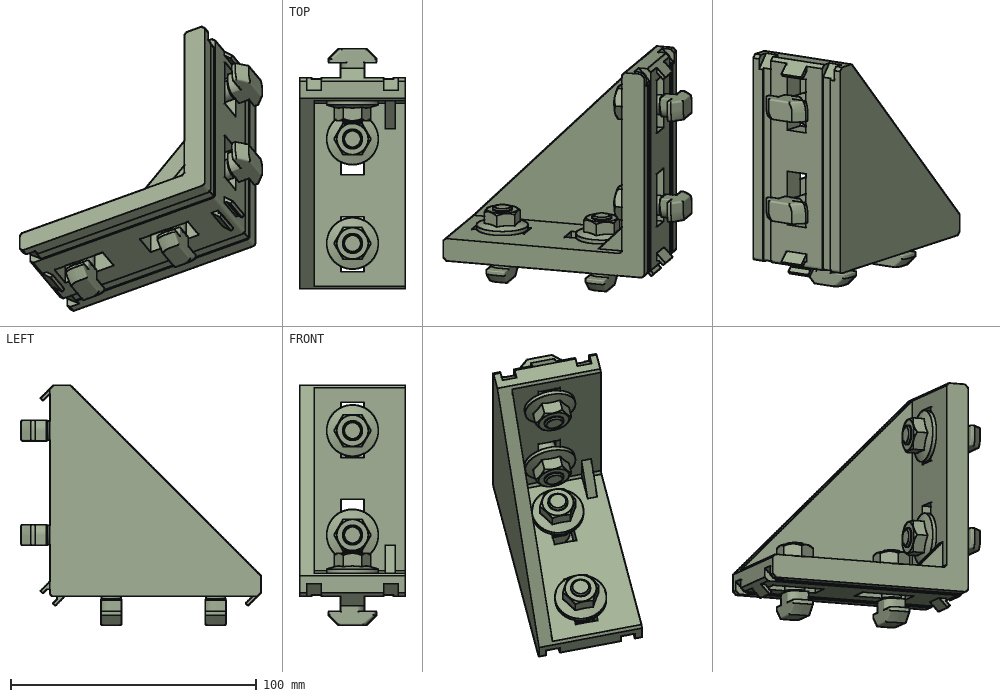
import cadquery as cq
import math


OVERALL_LENGTH = 97.8
WIDTH = 43.0
LEG_LENGTH = 86.1
LEG_THICKNESS = 9.5
SIDE_PLATE = 5.9
END_HEIGHT = 8.4
END_CHAMFER = 1.5
CORNER_RADIUS = 1.5
INNER_CHAMFER = 1.1
MID_X = WIDTH / 2

RIB_X = 34.9
RIB_WIDTH = 4.0
RIB_TOP = 20.8

SLOT_WIDTH = 9.2
SLOT_LENGTH = 22.4
SLOT_STARTS = (17.1, 56.7)

GROOVE_INSET = 4.9
GROOVE_WIDTH = 3.9
GROOVE_DEPTH = 0.6
POCKET_INSET = 2.9
POCKET_DEPTH = 5.1
POCKET_LENGTH = 5.1

LUG_WIDTH = 9.9
LUG_REACH = 3.8
LUG_THICKNESS = 1.5
CORNER_LUG_START = 2.9
CORNER_LUG_END = 6.1

BOLT_DISTANCES = (25.0, 67.6)
SHANK_DIAMETER = 8.0
TIP_DIAMETER = 6.65
TIP_HEIGHT = 18.8
NECK_HALF = 4.9
NECK_TOP = -1.5
TAPER_TOP = -0.9
HEAD_TOP = -6.0
HEAD_BOTTOM = LEG_LENGTH - OVERALL_LENGTH
HEAD_HALF = 9.8
HEAD_WIDTH = 8.5
HEAD_FLAT_HALF = 5.8
HEAD_FILLET = 0.8
NECK_FILLET = 0.4

FLANGE_DIAMETER = 21.0
FLANGE_RIM = 1.7
FLANGE_HEIGHT = 2.9
HEX_FLATS = 13.0
HEX_CORNERS = HEX_FLATS / math.cos(math.radians(30))
NUT_HEIGHT = 8.2
NUT_CHAMFER = 0.9
NUT_TOP_DIAMETER = 12.7


def leg_prism(points, x_start, length):
    """Extrude along X an outline of (distance from corner, height above outer face) on the -Y leg."""
    outline = [(-distance, height) for distance, height in points]
    return cq.Workplane("YZ").polyline(outline).close().extrude(length).translate((x_start, 0, 0))


def turned_solid(points):
    """Revolve an outline of (radius, height) about the Z axis."""
    return cq.Workplane("XZ").polyline(points).close().revolve(360, (0, 0), (0, 1))


def on_both_legs(shape):
    """Join a feature of the -Y leg with its mirror image on the +Z leg."""
    return shape.union(shape.mirror(cq.Vector(0, 1, 1)))


def make_slots():
    slots = cq.Workplane("XY")
    for start in SLOT_STARTS:
        slot = cq.Workplane("XY").box(SLOT_WIDTH, SLOT_LENGTH, 2 * LEG_THICKNESS)
        slots = slots.add(slot.translate((MID_X, -start - SLOT_LENGTH / 2, 0)))
    return slots.combine()


def make_grooves():
    """Shallow grooves along the leg, each deepening in a ramped pocket at the leg's end."""
    ramp_start = LEG_LENGTH - POCKET_LENGTH
    groove_outline = [(0, 0), (LEG_LENGTH, 0), (LEG_LENGTH, GROOVE_DEPTH), (0, GROOVE_DEPTH)]
    pocket_outline = [
        (LEG_LENGTH, 0),
        (LEG_LENGTH, POCKET_DEPTH),
        (ramp_start, GROOVE_DEPTH),
        (ramp_start - GROOVE_DEPTH, 0),
    ]
    pocket_width = GROOVE_INSET + GROOVE_WIDTH - POCKET_INSET
    groove = leg_prism(groove_outline, GROOVE_INSET, GROOVE_WIDTH)
    near = groove.union(leg_prism(pocket_outline, POCKET_INSET, pocket_width))
    far = near.mirror("YZ").translate((WIDTH, 0, 0))
    return near.union(far)


def make_lugs():
    """Two lugs under a leg, both slanting 45 degrees toward the corner."""
    slant_width = LUG_THICKNESS * math.sqrt(2)
    end_lug = [
        (LEG_LENGTH - END_CHAMFER, 0),
        (LEG_LENGTH - END_CHAMFER - LUG_REACH, -LUG_REACH),
        (LEG_LENGTH - END_CHAMFER - LUG_REACH - slant_width / 2, -LUG_REACH + slant_width / 2),
        (LEG_LENGTH - END_CHAMFER - slant_width, 0),
    ]
    foot_step = CORNER_LUG_END - slant_width - CORNER_LUG_START
    corner_lug = [
        (CORNER_LUG_END, 0),
        (CORNER_LUG_END - LUG_REACH, -LUG_REACH),
        (CORNER_LUG_END - LUG_REACH - slant_width / 2, -LUG_REACH + slant_width / 2),
        (CORNER_LUG_START, -foot_step),
        (CORNER_LUG_START, 0),
    ]
    lug_x = MID_X - LUG_WIDTH / 2
    return leg_prism(end_lug, lug_x, LUG_WIDTH).union(leg_prism(corner_lug, lug_x, LUG_WIDTH))


def make_bracket():
    outline = [
        (0, 0),
        (LEG_LENGTH - END_CHAMFER, 0),
        (LEG_LENGTH, END_CHAMFER),
        (LEG_LENGTH, END_HEIGHT),
        (END_HEIGHT, LEG_LENGTH),
        (END_CHAMFER, LEG_LENGTH),
        (0, LEG_LENGTH - END_CHAMFER),
    ]
    body = leg_prism(outline, 0, WIDTH)
    body = body.faces(">Y").edges("<Z").fillet(CORNER_RADIUS)

    inside = [
        (LEG_THICKNESS, LEG_THICKNESS + INNER_CHAMFER),
        (LEG_THICKNESS + INNER_CHAMFER, LEG_THICKNESS),
        (LEG_LENGTH, LEG_THICKNESS),
        (LEG_LENGTH, LEG_LENGTH),
        (LEG_THICKNESS, LEG_LENGTH),
    ]
    body = body.cut(leg_prism(inside, SIDE_PLATE, WIDTH - SIDE_PLATE))

    rib = [(LEG_THICKNESS, LEG_THICKNESS), (RIB_TOP, LEG_THICKNESS), (LEG_THICKNESS, RIB_TOP)]
    body = body.union(leg_prism(rib, RIB_X, RIB_WIDTH))

    body = body.cut(on_both_legs(make_slots()))
    body = body.cut(on_both_legs(make_grooves()))
    return body.union(on_both_legs(make_lugs()))


def round_flat_sides(head, bottom, top, radius):
    """Round the outline edges of the head's two flat sides whose centers lie between two levels."""
    band = cq.selectors.BoxSelector((-WIDTH, -WIDTH, bottom - radius / 2), (WIDTH, WIDTH, top + radius / 2))
    return head.faces("<Y or >Y").edges(band).fillet(radius)


def make_bolt():
    """T-bolt along Z. Two opposite quarters of neck and head are round so that it can twist and lock."""
    slope = HEAD_HALF - HEAD_FLAT_HALF
    half_outline = [
        (0, NECK_TOP),
        (NECK_HALF, NECK_TOP),
        (NECK_HALF, HEAD_TOP),
        (HEAD_HALF, HEAD_TOP),
        (HEAD_HALF, HEAD_BOTTOM + slope),
        (HEAD_FLAT_HALF, HEAD_BOTTOM),
        (0, HEAD_BOTTOM),
    ]
    square_quarter = cq.Workplane("XZ").polyline(half_outline).close().extrude(-HEAD_WIDTH / 2)
    quarter_slab = cq.Workplane("XY").rect(HEAD_HALF, -HEAD_WIDTH / 2, centered=False).extrude(HEAD_BOTTOM)
    round_quarter = turned_solid(half_outline).intersect(quarter_slab)
    half_head = square_quarter.union(round_quarter)
    head = half_head.union(half_head.rotate((0, 0, 0), (0, 0, 1), 180)).clean()

    head = round_flat_sides(head, HEAD_BOTTOM, HEAD_TOP - HEAD_FILLET, HEAD_FILLET)
    head = round_flat_sides(head, HEAD_TOP, NECK_TOP - NECK_FILLET, NECK_FILLET)

    shank_radius = SHANK_DIAMETER / 2
    tip_radius = TIP_DIAMETER / 2
    shank_outline = [
        (0, NECK_TOP),
        (HEAD_WIDTH / 2, NECK_TOP),
        (shank_radius, TAPER_TOP),
        (shank_radius, TIP_HEIGHT - (shank_radius - tip_radius)),
        (tip_radius, TIP_HEIGHT),
        (0, TIP_HEIGHT),
    ]
    return head.union(turned_solid(shank_outline))


def make_nut():
    """Hexagon nut with a conical flange, seated on the leg's inner face."""
    flange_outline = [
        (0, 0),
        (FLANGE_DIAMETER / 2, 0),
        (FLANGE_DIAMETER / 2, FLANGE_RIM),
        (HEX_FLATS / 2, FLANGE_HEIGHT),
        (0, FLANGE_HEIGHT),
    ]
    flange = turned_solid(flange_outline)
    hexagon = cq.Workplane("XY").polygon(6, HEX_CORNERS).extrude(NUT_HEIGHT)
    blank_outline = [
        (0, 0),
        (HEX_CORNERS / 2, 0),
        (HEX_CORNERS / 2, NUT_HEIGHT - NUT_CHAMFER),
        (NUT_TOP_DIAMETER / 2, NUT_HEIGHT),
        (0, NUT_HEIGHT),
    ]
    hexagon = hexagon.intersect(turned_solid(blank_outline))
    nut = flange.union(hexagon)
    bore = cq.Workplane("XY").circle(SHANK_DIAMETER / 2).extrude(NUT_HEIGHT)
    return nut.cut(bore).translate((0, 0, LEG_THICKNESS))


def place_on_legs(part):
    """Copies of a part built along Z: one per bolt position on the -Y leg and on the +Z leg."""
    turned = part.rotate((0, 0, 0), (1, 0, 0), 90)
    copies = []
    for distance in BOLT_DISTANCES:
        copies.append(part.translate((MID_X, -distance, 0)).solids().val())
        copies.append(turned.translate((MID_X, 0, distance)).solids().val())
    return copies


bracket = make_bracket().solids().val()
bolts = place_on_legs(make_bolt())
nuts = place_on_legs(make_nut())

result = cq.Compound.makeCompound([bracket, *bolts, *nuts])